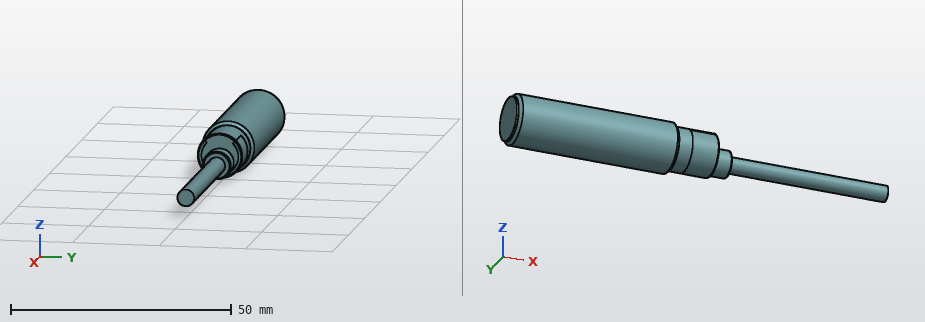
import cadquery as cq

total_length = 92.6
sleeve_diameter = 12.0
sleeve_start = 0.5
sleeve_end = 39.9
sleeve_chamfer = 0.7

core_radius = 5.2
core_end = 49.8
core_end_chamfer = 0.3

window_start = 43.2
window_thickness = 0.9
window_gap_angle = 90.0

cable_offset_z = -1.5
cable_radius = 1.9
boss_radius = 3.2
boss_end = 53.8
boss_chamfer = 0.3


def rod(start, end, radius, center_z=0.0):
    """Solid cylinder along X between two stations."""
    return (
        cq.Workplane("YZ", origin=(start, 0, center_z))
        .circle(radius)
        .extrude(end - start)
    )


def make_sleeve():
    """Metal tube, chamfered at both ends, around the core."""
    outside = rod(sleeve_start, sleeve_end, sleeve_diameter / 2).edges().chamfer(sleeve_chamfer)
    return outside.cut(rod(sleeve_start, sleeve_end, core_radius))


def core_cylinder():
    """Full core cylinder, with its rear edge chamfered."""
    return rod(0, core_end, core_radius).faces(">X").edges().chamfer(core_end_chamfer)


def make_window():
    """C-shaped window, flush with the core, open in a 90 degree sector at the top."""
    inner_radius = core_radius - window_thickness
    ring_profile = (
        cq.Workplane("XY")
        .moveTo(window_start, inner_radius)
        .lineTo(window_start, core_radius)
        .lineTo(core_end - core_end_chamfer, core_radius)
        .lineTo(core_end, core_radius - core_end_chamfer)
        .lineTo(core_end, inner_radius)
        .close()
    )
    sweep_angle = 360.0 - window_gap_angle
    gap_edge_angle = 90.0 - window_gap_angle / 2
    ring = ring_profile.revolve(sweep_angle, (0, 0, 0), (-1, 0, 0))
    return ring.rotate((0, 0, 0), (1, 0, 0), gap_edge_angle)


def make_core(window):
    """Core from sensing face to cable boss, recessed for the window."""
    boss = rod(core_end, boss_end, boss_radius, cable_offset_z)
    boss = boss.faces(">X").edges().chamfer(boss_chamfer)
    return core_cylinder().cut(window).union(boss)


def make_cable():
    """Cable leaving the end face of the boss."""
    return rod(boss_end, total_length, cable_radius, cable_offset_z)


sleeve = make_sleeve()
window = make_window()
core = make_core(window)
cable = make_cable()

result = cq.Compound.makeCompound([sleeve.val(), core.val(), window.val(), cable.val()])